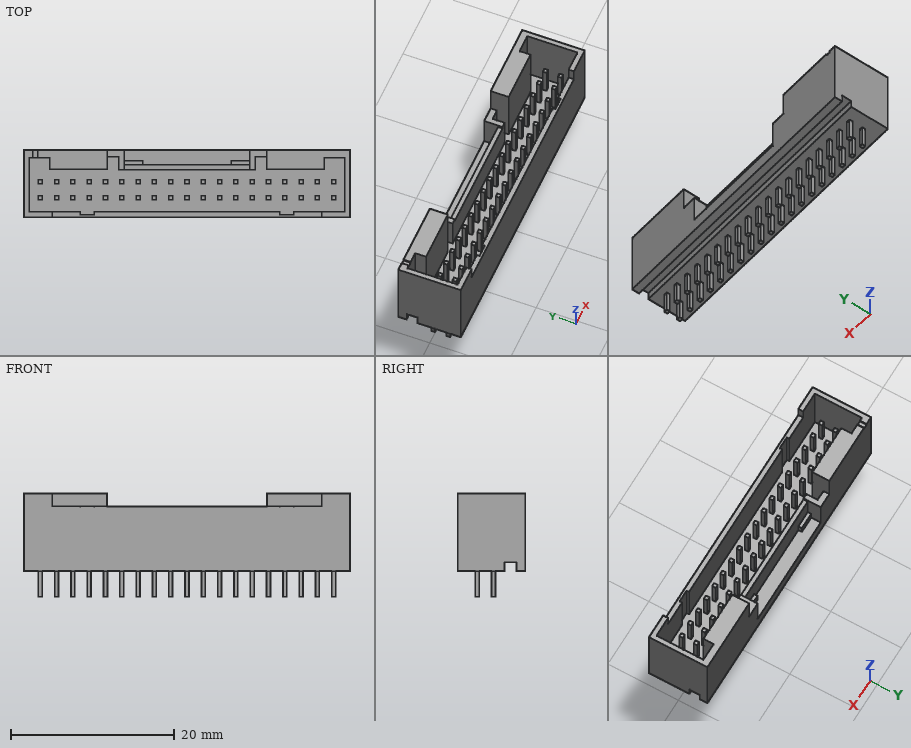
import cadquery as cq


length = 40.0
depth = 8.3
overall_height = 12.7
pin_tail = 3.15
height = overall_height - pin_tail
floor_thickness = 2.0

end_wall = 0.65
front_wall = 0.7
back_wall = 0.95

front_edge_drop = 1.6
corner_edge_drop = 3.5
step_edge_drop = 0.3
front_edge_z = height - front_edge_drop
corner_edge_z = height - corner_edge_drop
step_edge_z = corner_edge_z - step_edge_drop

front_corner_width = 3.5
front_cutout_half = length / 2 - front_corner_width
key_slot_center = 12.25
key_slot_width = 1.7
key_slot_depth = 0.35

block_outer = 16.85
block_inner = 9.8
block_depth = 2.4

recess_half = 7.7
corner_wall = 0.7
corner_back_wall = 0.85
step_wall = 0.6
step_setback = 2.45
step_inner_y = depth - step_setback
step_outer_y = step_inner_y + step_wall

rib_length = 2.3
rib_depth = 0.5
rib_height = 1.0

mark_offset = 1.1
mark_start = -length / 2 + mark_offset
mark_width = 0.6
mark_depth = 0.2

groove_back_lip = 1.1
groove_width = 1.45
groove_height = 1.1

pin_count = 19
pin_pitch = 2.0
pin_width = 0.5
pin_top_z = 5.65
first_row_y = 2.4
row_ys = (first_row_y, first_row_y + pin_pitch)


def box(x0, x1, y0, y1, z0, z1):
    """Box between two opposite corners."""
    return cq.Workplane("XY").box(x1 - x0, y1 - y0, z1 - z0, centered=False).translate((x0, y0, z0))


def both_ends(solid):
    """The solid joined with its mirror image in X."""
    return solid.union(solid.mirror("YZ"))


def make_shell():
    """Open-topped housing with the lowered front edge and its key slots."""
    half = length / 2
    shell = box(-half, half, 0, depth, 0, height)
    cavity_half = half - end_wall
    shell = shell.cut(
        box(-cavity_half, cavity_half, front_wall, depth - back_wall, floor_thickness, height)
    )
    shell = shell.cut(box(-front_cutout_half, front_cutout_half, 0, front_wall, front_edge_z, height))
    key_slot = box(
        key_slot_center - key_slot_width / 2,
        key_slot_center + key_slot_width / 2,
        front_wall - key_slot_depth,
        front_wall,
        floor_thickness,
        height,
    )
    return shell.cut(both_ends(key_slot))


def make_guide_blocks():
    """Full-height blocks inside the back wall."""
    return both_ends(box(block_inner, block_outer, depth - block_depth, depth, floor_thickness, height))


def make_stepped_wall():
    """Thin wall that jogs toward the pins, with the low ribs behind it."""
    corner_half = recess_half + corner_wall
    back = box(corner_half, block_inner, depth - corner_back_wall, depth, floor_thickness, corner_edge_z)
    side = box(recess_half, corner_half, step_inner_y, depth, floor_thickness, corner_edge_z)
    rib = box(
        recess_half - rib_length,
        recess_half,
        step_outer_y,
        step_outer_y + rib_depth,
        floor_thickness,
        floor_thickness + rib_height,
    )
    front = box(-recess_half, recess_half, step_inner_y, step_outer_y, floor_thickness, step_edge_z)
    return front.union(both_ends(back.union(side).union(rib)))


def make_housing():
    """Complete plastic housing."""
    middle_back = box(-block_inner, block_inner, depth - back_wall, depth, floor_thickness, height)
    housing = make_shell().cut(middle_back).union(make_guide_blocks()).union(make_stepped_wall())
    mark = box(
        mark_start, mark_start + mark_width, depth - back_wall, depth, height - mark_depth, height
    )
    groove_back_y = depth - groove_back_lip
    groove = box(-length / 2, length / 2, groove_back_y - groove_width, groove_back_y, 0, groove_height)
    return housing.cut(mark).cut(groove)


def add_pins(housing):
    """Square pins in two rows, passing through the floor."""
    first_x = -pin_pitch * (pin_count - 1) / 2
    positions = [(first_x + i * pin_pitch, y) for y in row_ys for i in range(pin_count)]
    pins = (
        cq.Workplane("XY", origin=(0, 0, -pin_tail))
        .pushPoints(positions)
        .rect(pin_width, pin_width)
        .extrude(pin_top_z + pin_tail)
    )
    return housing.union(pins)


result = add_pins(make_housing())